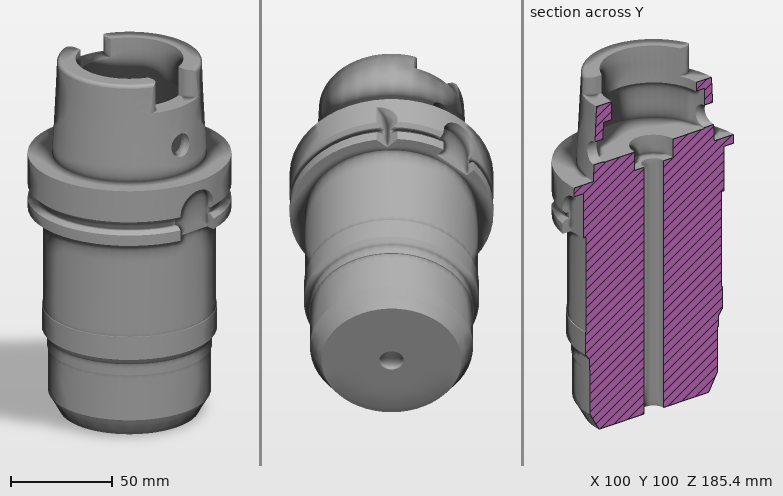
import cadquery as cq
import math


shank_length = 50.0
gauge_radius = 37.5
gauge_height = 10.0
taper_ratio = 9.98
taper_slope = 1 / taper_ratio / 2
shank_rim_fillet = 2.0

mouth_radius = 26.5
mouth_depth = 20.0
chamber_radius = 31.5
chamber_floor = 8.5
coolant_seat_radius = 12.0
coolant_seat_depth = 10.0
coolant_hole_radius = 6.0

drive_slot_width = 20.0
drive_slot_face = 32.6
drive_slot_fillet = 5.0
left_drive_floor = 40.0
right_drive_floor = 35.0

cross_hole_diameter = 12.0
cross_hole_height = 15.0

flange_radius = 50.0
flange_width = 29.0
groove_center = -20.0
groove_radius = 46.0
groove_width = 3.5
groove_mouth_width = 7.0
groove_bevel_radius = 48.0

left_pocket_width = 20.0
right_pocket_width = 22.0
pocket_top = -5.0
pocket_floor = 44.0
notch_floor = 31.5
notch_inner_edge = 31.4
notch_radius = 10.0

body_radius = 42.5
collar_radius = 43.0
collar_top = -80.3
collar_bottom = -92.4
step_radius = 40.5
step_top = -95.7
step_bottom = -101.6
nose_radius = 40.0
nose_bottom = -135.4
nose_chamfer_height = 9.7
nose_chamfer_angle = 30.0


def cone_radius(z):
    """Radius of the shank taper at height z."""
    return gauge_radius + (gauge_height - z) * taper_slope


def revolve_profile(points):
    """Revolve an outline of (radius, height) points around the Z axis."""
    return cq.Workplane("XZ").polyline(points).close().revolve(360, (0, 0), (0, 1))


def make_shank():
    blank = revolve_profile([
        (0, 0),
        (cone_radius(0), 0),
        (cone_radius(shank_length), shank_length),
        (0, shank_length),
    ])
    return blank.faces(">Z").edges().fillet(shank_rim_fillet)


def make_flange_and_body():
    chamfer_depth = nose_chamfer_height * math.tan(math.radians(nose_chamfer_angle))
    nose_end_radius = nose_radius - chamfer_depth
    return revolve_profile([
        (0, 0),
        (flange_radius, 0),
        (flange_radius, groove_center + groove_mouth_width / 2),
        (groove_bevel_radius, groove_center + groove_width / 2),
        (groove_radius, groove_center + groove_width / 2),
        (groove_radius, groove_center - groove_width / 2),
        (groove_bevel_radius, groove_center - groove_width / 2),
        (flange_radius, groove_center - groove_mouth_width / 2),
        (flange_radius, -flange_width),
        (body_radius, -flange_width),
        (body_radius, collar_top),
        (collar_radius, collar_top),
        (collar_radius, collar_bottom),
        (step_radius, step_top),
        (step_radius, step_bottom),
        (nose_radius, step_bottom),
        (nose_radius, nose_bottom + nose_chamfer_height),
        (nose_end_radius, nose_bottom),
        (0, nose_bottom),
    ])


def make_bore():
    """Clamping bore that steps wider behind its mouth, then the coolant seat and through hole."""
    mouth_end = shank_length - mouth_depth
    seat_floor = chamber_floor - coolant_seat_depth
    return revolve_profile([
        (0, shank_length),
        (mouth_radius, shank_length),
        (mouth_radius, mouth_end),
        (chamber_radius, mouth_end),
        (chamber_radius, chamber_floor),
        (coolant_seat_radius, chamber_floor),
        (coolant_seat_radius, seat_floor),
        (coolant_hole_radius, seat_floor),
        (coolant_hole_radius, nose_bottom),
        (0, nose_bottom),
    ])


def make_drive_slot(side, floor):
    """Slot open to the rim on one side (+1 or -1 along X), with rounded outer corners."""
    half_width = drive_slot_width / 2
    corner_start = drive_slot_face - drive_slot_fillet
    corner_end = half_width + drive_slot_fillet
    outside = flange_radius
    arc_radius = side * drive_slot_fillet
    return (
        cq.Workplane("XY", origin=(0, 0, floor))
        .moveTo(0, -half_width)
        .lineTo(side * corner_start, -half_width)
        .radiusArc((side * drive_slot_face, -corner_end), arc_radius)
        .lineTo(side * drive_slot_face, -outside)
        .lineTo(side * outside, -outside)
        .lineTo(side * outside, outside)
        .lineTo(side * drive_slot_face, outside)
        .lineTo(side * drive_slot_face, corner_end)
        .radiusArc((side * corner_start, half_width), arc_radius)
        .lineTo(0, half_width)
        .close()
        .extrude(shank_length - floor)
    )


def make_cross_holes():
    return (
        cq.Workplane("YZ", origin=(0, 0, cross_hole_height))
        .circle(cross_hole_diameter / 2)
        .extrude(flange_radius, both=True)
    )


def make_round_top_cut(center_y, radius, floor):
    """Cutter for a round-topped pocket, reaching from X = floor to the +X rim."""
    arc_center = pocket_top - radius
    return (
        cq.Workplane("YZ", origin=(floor, 0, 0))
        .moveTo(center_y - radius, -flange_width)
        .lineTo(center_y - radius, arc_center)
        .threePointArc((center_y, pocket_top), (center_y + radius, arc_center))
        .lineTo(center_y + radius, -flange_width)
        .close()
        .extrude(flange_radius)
    )


left_pocket = make_round_top_cut(0, left_pocket_width / 2, pocket_floor).mirror("YZ")
right_pocket = make_round_top_cut(0, right_pocket_width / 2, pocket_floor)
notch_center = notch_inner_edge + notch_radius
orientation_notch = make_round_top_cut(notch_center, notch_radius, notch_floor).mirror("YZ")

result = make_flange_and_body().union(make_shank()).cut(make_bore())
result = result.cut(make_drive_slot(-1, left_drive_floor))
result = result.cut(make_drive_slot(1, right_drive_floor))
result = result.cut(make_cross_holes())
result = result.cut(left_pocket).cut(right_pocket)
result = result.cut(orientation_notch)